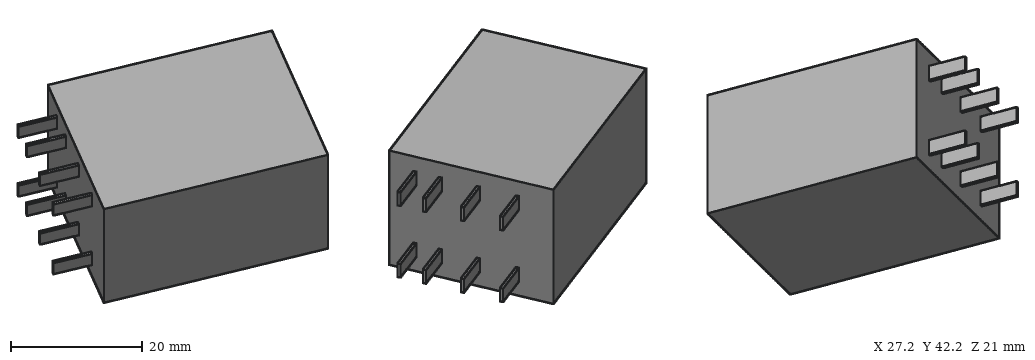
import cadquery as cq

width = 27.2
height = 21.0
total_length = 42.2

pin_length = 6.2
pin_thickness = 0.5
pin_height = 2.5
pin_row_spacing = 13.15
pin_column_offsets = (4.25, 8.5, 14.75, 21.25)

body_length = total_length - pin_length


def make_body():
    """Plain block centred on X and Z, with its pin face at Y = 0."""
    return cq.Workplane("XY").box(width, body_length, height, centered=(True, False, True))


def make_pins():
    """Two matching rows of flat pins, reaching from the pin face toward -Y."""
    centres = [
        (offset - width / 2, row_side * pin_row_spacing / 2)
        for row_side in (-1, 1)
        for offset in pin_column_offsets
    ]
    return cq.Workplane("XZ").pushPoints(centres).rect(pin_thickness, pin_height).extrude(pin_length)


result = make_body().union(make_pins())